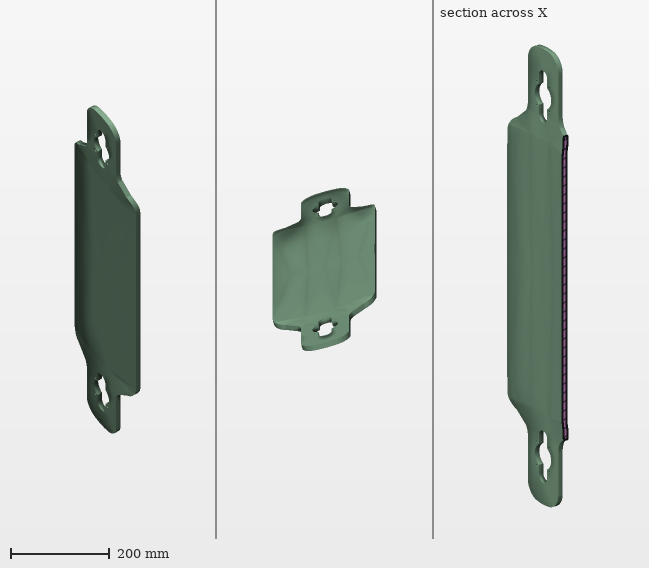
import cadquery as cq
import math

length = 1016.0
width = 215.0
depth = 21.0
thickness = 11.0
rocker = 1.2
concave = depth - thickness - rocker

half_length = length / 2
half_width = width / 2
tail_half_width = 51.0
side_end_z = 289.0
shoulder_mid = (101.0, 312.0)
shoulder_end = (83.0, 326.0)
neck_start = (57.0, 351.0)
neck_mid = (53.0, 360.0)
neck_end_z = 373.0
tail_side_end_z = 471.0
tail_corner_mid = (42.0, 494.0)
tail_corner_end = (25.0, 505.0)
nose_mid = (13.0, 507.0)

crease_z = 305.0
flat_start_z = 358.0

mount_z = 401.0
slot_width = 27.0
slot_length = 115.0
opening_diameter = 54.0
bolt_diameter = 5.0
bolt_spacing_x = 42.0
bolt_spacing_z = 53.0

trim_margin = 10.0
blank_width = width + 2 * trim_margin
concave_radius = (half_width**2 + concave**2) / (2 * concave)
blank_concave = concave_radius - math.sqrt(concave_radius**2 - (blank_width / 2) ** 2)

through_depth = 4 * depth


def cross_section(z, middle_y, side_rise):
    """Closed strip of the blank's width and the deck's thickness at height z."""
    side_y = middle_y + side_rise
    left, right = -blank_width / 2, blank_width / 2
    strip = cq.Workplane("XY", origin=(0, 0, z)).moveTo(left, side_y)
    if side_rise:
        strip = strip.threePointArc((0, middle_y), (right, side_y))
    else:
        strip = strip.lineTo(right, side_y)
    strip = strip.lineTo(right, side_y + thickness)
    if side_rise:
        strip = strip.threePointArc((0, middle_y + thickness), (left, side_y + thickness))
    else:
        strip = strip.lineTo(left, side_y + thickness)
    return strip.close().val()


def deck_blank():
    """Oversized bent board: concave middle, ruled transitions and flat ends."""
    middle = cq.Solid.makeLoft(
        [
            cross_section(-crease_z, 0, blank_concave),
            cross_section(0, rocker, blank_concave),
            cross_section(crease_z, 0, blank_concave),
        ]
    )
    transition = cq.Solid.makeLoft(
        [cross_section(crease_z, 0, blank_concave), cross_section(flat_start_z, 0, 0)], True
    )
    tail_length = half_length + trim_margin - flat_start_z
    tail = cq.Workplane("XY", origin=(0, thickness / 2, flat_start_z + tail_length / 2))
    tail = tail.box(blank_width, thickness, tail_length)
    end = tail.union(cq.Workplane(transition))
    return cq.Workplane(middle).union(end).union(end.mirror("XY"))


def outline_cutter():
    """Prism of the deck outline, made from one quarter mirrored twice."""
    quarter = (
        cq.Workplane("XZ")
        .lineTo(half_width, 0)
        .lineTo(half_width, side_end_z)
        .threePointArc(shoulder_mid, shoulder_end)
        .lineTo(*neck_start)
        .threePointArc(neck_mid, (tail_half_width, neck_end_z))
        .lineTo(tail_half_width, tail_side_end_z)
        .threePointArc(tail_corner_mid, tail_corner_end)
        .threePointArc(nose_mid, (0, half_length))
        .close()
        .extrude(through_depth, both=True)
    )
    half = quarter.union(quarter.mirror("YZ"))
    return half.union(half.mirror("XY"))


def truck_mount(z):
    """Cutter for a slot with a round opening and four bolt holes."""
    plane = cq.Workplane("XZ", origin=(0, 0, z))
    slot = plane.slot2D(slot_length, slot_width, 90).extrude(through_depth, both=True)
    opening = plane.circle(opening_diameter / 2).extrude(through_depth, both=True)
    bolts = (
        plane.rarray(bolt_spacing_x, bolt_spacing_z, 2, 2)
        .circle(bolt_diameter / 2)
        .extrude(through_depth, both=True)
    )
    return slot.union(opening).union(bolts)


result = deck_blank().intersect(outline_cutter())
for z in (-mount_z, mount_z):
    result = result.cut(truck_mount(z))